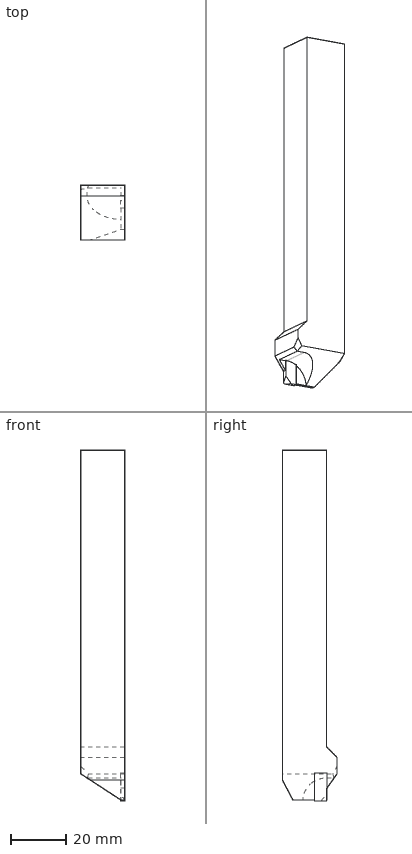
import cadquery as cq

SHANK_SIZE = 16.0
TOTAL_LENGTH = 127.0
HALF = SHANK_SIZE / 2

TIP_PROJECTION = 0.4
HEEL_WIDTH = 3.8
HEEL_TOP_Z = 15.9
NOSE_START_Z = 9.9
NOSE_END_Y = 5.1
FRONT_BEVEL_Z = 7.6
FRONT_BEVEL_WIDTH = 3.8
RIB_FACE_X = 6.6

RELIEF_RADIUS = 8.4
RELIEF_CENTER_Y = 7.7

INSERT_WIDTH = 4.6
INSERT_MAX_Y = 8.1
INSERT_FACE_X = 6.4
INSERT_HEIGHT = 10.2
INSERT_BEVEL_Y = 2.3
INSERT_BEVEL_Z = 2.5
INSERT_BEVEL_DRAFT = 0.4

HEEL_Y = HALF + HEEL_WIDTH

HEEL_BEVEL = [(-HALF, HEEL_Y, 12.7), (-HALF, 10.3, NOSE_START_Z), (-5.7, 10.7, 8.4)]


def outer_block(points, outward):
    """Large block on the outward side of the plane through three points."""
    a, b, c = [cq.Vector(*point) for point in points]
    normal = (b - a).cross(c - a)
    if normal.dot(cq.Vector(*outward)) < 0:
        normal = -normal
    plane = cq.Plane(origin=a, xDir=b - a, normal=normal)
    return cq.Workplane(plane).rect(TOTAL_LENGTH, TOTAL_LENGTH).extrude(TOTAL_LENGTH)


def make_insert():
    block = cq.Workplane("XY").box(
        HALF - INSERT_FACE_X, INSERT_WIDTH, INSERT_HEIGHT, centered=False
    ).translate((INSERT_FACE_X, INSERT_MAX_Y - INSERT_WIDTH, 0))
    corner = [
        (INSERT_FACE_X, INSERT_MAX_Y, INSERT_BEVEL_Z),
        (INSERT_FACE_X, INSERT_MAX_Y - INSERT_BEVEL_Y, 0),
        (HALF, INSERT_MAX_Y - INSERT_BEVEL_DRAFT, 0),
    ]
    return block, block.cut(outer_block(corner, (-1, 1, -1)))


def head_and_shank():
    side_outline = [
        (-HALF, TOTAL_LENGTH),
        (HALF, TOTAL_LENGTH),
        (HALF, HEEL_TOP_Z + HEEL_WIDTH),
        (HEEL_Y, HEEL_TOP_Z),
        (HEEL_Y, NOSE_START_Z),
        (NOSE_END_Y, TIP_PROJECTION),
        (FRONT_BEVEL_WIDTH - HALF, TIP_PROJECTION),
        (-HALF, FRONT_BEVEL_Z),
    ]
    return cq.Workplane("YZ", origin=(-HALF, 0, 0)).polyline(side_outline).close().extrude(SHANK_SIZE)


def underside_slope():
    """Wedge below the sloping underside, which falls from -X to the rib."""
    return (
        cq.Workplane("XZ", origin=(0, HEEL_Y, 0))
        .polyline([(-HALF, NOSE_START_Z), (RIB_FACE_X, TIP_PROJECTION), (-HALF, TIP_PROJECTION)])
        .close()
        .extrude(HEEL_Y + HALF)
    )


def relief():
    """Cut down to the rib: a quarter round toward -Y, straight toward +Y."""
    depth = RIB_FACE_X + HALF
    start = cq.Workplane("YZ", origin=(-HALF, RELIEF_CENTER_Y, 0))
    rounded = start.circle(RELIEF_RADIUS).extrude(depth)
    straight = start.rect(RELIEF_RADIUS, RELIEF_RADIUS, centered=False).extrude(depth)
    return rounded.union(straight)


insert_pocket, insert = make_insert()
holder = (
    head_and_shank()
    .cut(underside_slope())
    .cut(outer_block(HEEL_BEVEL, (-1, 1, -1)))
    .cut(relief())
    .cut(insert_pocket)
)

result = cq.Compound.makeCompound([holder.val(), insert.val()])